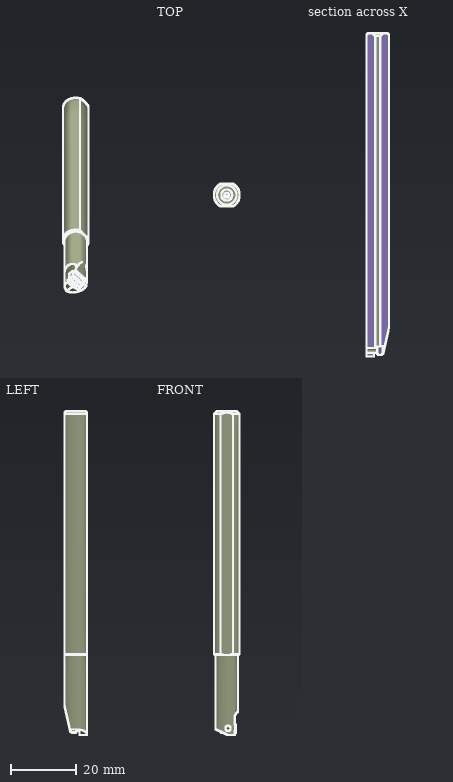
import cadquery as cq

total_length = 99.6
shank_diameter = 8.0
across_flats = 7.0
shoulder_height = 24.6
top_face_radius = 3.0
top_chamfer_height = 1.0
shoulder_chamfer = 0.4

neck_radius = across_flats / 2
end_slant_rise = 1.8
end_slant_start_x = 0.3
taper_height = 9.0
taper_end_y = 1.9
taper_end_z = 1.9

relief_x = 2.5
relief_height = 5.5
relief_runout_height = 7.2

bore_diameter = 1.5
bore_mouth_diameter = 3.4
bore_cone_depth = 1.0

insert_left_x = -1.8
insert_right_x = 2.9
insert_bottom_z = 0.6
insert_top_z = 3.3
seat_y = -0.2
insert_back_y = 1.5
insert_chamfer = 0.4

groove_width = 0.9
groove_height = 1.2
screw_hole_diameter = 1.6
screw_hole_x = 0.4
screw_hole_z = 2.1


def box_between(low, high):
    """Axis-aligned box given by its two opposite corners."""
    size = [b - a for a, b in zip(low, high)]
    return cq.Workplane("XY").box(*size, centered=False).translate(low)


def make_blank():
    """Turned shank and neck, with the two flats cut at +Y and -Y."""
    shank_radius = shank_diameter / 2
    turned = (
        cq.Workplane("XZ")
        .moveTo(0, 0)
        .lineTo(neck_radius, 0)
        .lineTo(neck_radius, shoulder_height)
        .lineTo(shank_radius - shoulder_chamfer, shoulder_height)
        .lineTo(shank_radius, shoulder_height + shoulder_chamfer)
        .lineTo(shank_radius, total_length - top_chamfer_height)
        .lineTo(top_face_radius, total_length)
        .lineTo(0, total_length)
        .close()
        .revolve(360, (0, 0), (0, 1))
    )
    flats = cq.Workplane("XY").rect(shank_diameter, across_flats).extrude(total_length)
    return turned.intersect(flats)


def make_end_slant():
    """Wedge that slants the end face up toward -X."""
    return (
        cq.Workplane("XZ")
        .polyline([(-neck_radius, 0), (end_slant_start_x, 0), (-neck_radius, end_slant_rise)])
        .close()
        .extrude(neck_radius, both=True)
    )


def make_back_taper():
    """Wedge that thins the +Y side of the neck toward its end."""
    slope = (neck_radius - taper_end_y) / (taper_height - taper_end_z)
    bottom_y = taper_end_y - slope * taper_end_z
    return (
        cq.Workplane("YZ")
        .polyline([(neck_radius, 0), (neck_radius, taper_height), (bottom_y, 0)])
        .close()
        .extrude(neck_radius, both=True)
    )


def make_chip_relief():
    """Side cut at +X whose upper end runs out in an arc."""
    return (
        cq.Workplane("XZ")
        .moveTo(relief_x, 0)
        .lineTo(relief_x, relief_height)
        .tangentArcPoint((neck_radius, relief_runout_height), relative=False)
        .lineTo(neck_radius, 0)
        .close()
        .extrude(neck_radius, both=True)
    )


def make_coolant_bore():
    """Axial bore from the conical mouth down to the top of the insert."""
    bore_radius = bore_diameter / 2
    return (
        cq.Workplane("XZ")
        .moveTo(0, insert_top_z)
        .lineTo(bore_radius, insert_top_z)
        .lineTo(bore_radius, total_length - bore_cone_depth)
        .lineTo(bore_mouth_diameter / 2, total_length)
        .lineTo(0, total_length)
        .close()
        .revolve(360, (0, 0), (0, 1))
    )


def make_insert_seat():
    """Pocket for the insert, open toward +X, +Y and the end."""
    return box_between((insert_left_x, seat_y, 0), (neck_radius, neck_radius, insert_top_z))


def make_end_groove():
    """Groove along X in the end face, beside the seat."""
    return box_between(
        (-neck_radius, seat_y - groove_width, 0), (neck_radius, seat_y, groove_height)
    )


def make_screw_hole():
    """Round hole along Y through the wall behind the insert."""
    return (
        cq.Workplane("XZ", origin=(screw_hole_x, seat_y, screw_hole_z))
        .circle(screw_hole_diameter / 2)
        .extrude(neck_radius)
    )


def make_bar():
    return (
        make_blank()
        .cut(make_end_slant())
        .cut(make_back_taper())
        .cut(make_chip_relief())
        .cut(make_coolant_bore())
        .cut(make_insert_seat())
        .cut(make_end_groove())
        .cut(make_screw_hole())
    )


def make_insert():
    """Cutting insert with its lower long edges chamfered."""
    block = box_between(
        (insert_left_x, seat_y, insert_bottom_z), (insert_right_x, insert_back_y, insert_top_z)
    )
    return block.faces("<Z").edges("|X").chamfer(insert_chamfer)


bar = make_bar()
insert = make_insert()

result = cq.Compound.makeCompound([bar.solids().val(), insert.solids().val()])